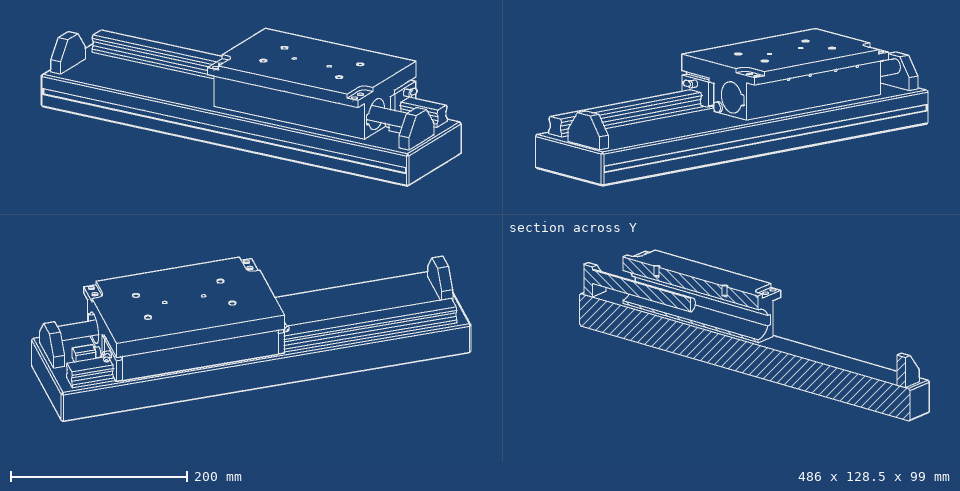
import cadquery as cq
import math


BASE_LENGTH = 486.0
BASE_WIDTH = 120.0
BASE_HEIGHT = 40.0
BASE_CHAMFER = 2.2
SLOT_END_MARGIN = 3.5
SLOT_BOTTOM_Z = 16.0
SLOT_HEIGHT = 7.5
SLOT_DEPTH = 2.5

TABLE_LENGTH = 199.5
TABLE_START_X = -20.0
TABLE_END_X = TABLE_START_X + TABLE_LENGTH
TABLE_MID_X = TABLE_START_X + TABLE_LENGTH / 2
TABLE_WIDTH = 128.5
TABLE_BACK_Y = 64.5
TABLE_FRONT_Y = TABLE_BACK_Y - TABLE_WIDTH
TABLE_TOP_Z = 99.0
FLANGE_BOTTOM_Z = 85.5
PLATE_BOTTOM_Z = 75.0
HOUSING_BOTTOM_Z = 42.5
HOUSING_BACK_Y = 8.0
HOUSING_FRONT_Y = -49.5

CARRIAGE_WIDTH = 48.0
CARRIAGE_FRONT_Y = TABLE_BACK_Y - CARRIAGE_WIDTH
CARRIAGE_BOTTOM_Z = 45.0
CARRIAGE_TOP_Z = 79.5
CARRIAGE_CHAMFER = 2.0
END_CAP_LENGTH = 7.5
END_CAP_WIDTH = 46.5

RAIL_Y = TABLE_BACK_Y - CARRIAGE_WIDTH / 2
RAIL_LENGTH = 456.0
RAIL_START_X = -RAIL_LENGTH / 2
RAIL_FOOT_WIDTH = 23.0
RAIL_NECK_WIDTH = 18.0
RAIL_TOP_WIDTH = 18.5
RAIL_TOP_Z = 60.5
RAIL_FOOT_EDGE_Z = 43.5
RAIL_NECK_BOTTOM_Z = 47.0
RAIL_NECK_TOP_Z = 52.0
RAIL_HEAD_EDGE_Z = 57.0

NIPPLE_Z = 69.0
NIPPLE_STUB_DIAMETER = 8.5
NIPPLE_STUB_LENGTH = 7.5
NIPPLE_HEAD_DIAMETER = 7.0
NIPPLE_HEAD_LENGTH = 9.5
NIPPLE_TIP_DIAMETER = 3.0
NIPPLE_TIP_LENGTH = 2.5
NIPPLE_ELBOW = 4.0
NIPPLE_ANGLE = 70.0

BORE_Y = -23.5
BORE_Z = 64.0
BORE_DIAMETER = 36.0
GROOVE_HEIGHT = 12.5
GROOVE_REACH = 22.0
GROOVE_FILLET = 2.0
ROD_DIAMETER = 17.0
ROD_DEPTH_IN_BORE = TABLE_LENGTH / 2

MOUNT_HOLE_DIAMETER = 7.0
MOUNT_MOUTH_DIAMETER = 8.5
MOUNT_SPACING_X = 100.0
MOUNT_SPACING_Y = 46.5
MOUNT_DEPTH = 12.0
COUNTERSINK_TAPER = 45.0
DOWEL_DIAMETER = 5.0
DOWEL_SPACING = 46.0
DOWEL_DEPTH = 9.5
HOLE_PATTERN_Y = 0.5
POCKET_LENGTH = 32.5
POCKET_WIDTH = 14.5
POCKET_DEPTH = 5.0
POCKET_RADIUS = 8.0
POCKET_HOLE_DIAMETER = 5.0
POCKET_MOUTH_DIAMETER = 7.0
POCKET_MOUTH_DEPTH = 2.5
POCKET_HOLE_INSET_X = 8.0
POCKET_HOLE_INSETS_Y = (5.0, 18.0)
SIDE_HOLE_DIAMETER = 3.25
SIDE_HOLE_Z = 80.5
SIDE_HOLE_DEPTH = 7.5
SIDE_HOLE_OFFSETS = (19.0, 51.0)
SIDE_HOLE_SHIFT = 14.0
SIDE_HOLE_PATTERN_X = TABLE_MID_X + SIDE_HOLE_SHIFT

BOSS_DIAMETER = 12.0
BOSS_LENGTH = 3.0
BOSS_Y = -1.0
BOSS_Z = 49.0

STOP_START_X = 186.5
STOP_LENGTH = 24.0
STOP_Y = 0.5
STOP_WIDTH = 15.5
STOP_TOP_Z = 54.5
STOP_CHAMFER = 2.0
BUMPER_DIAMETER = 12.0
BUMPER_LENGTH = 6.5
BUMPER_Z = 46.5

BRACKET_THICKNESS = 13.0
BRACKET_OFFSET = 6.5
BRACKET_Y = -20.0
BRACKET_WIDTH = 55.0
BRACKET_TOP_WIDTH = 22.5
BRACKET_TOP_Z = 76.5
BRACKET_SHOULDER_Z = 55.0


def extrude_along_x(points, start_x, length):
    """Extrude a closed YZ outline in +X from start_x."""
    return cq.Workplane("YZ", origin=(start_x, 0, 0)).polyline(points).close().extrude(length)


def cylinder_along_x(diameter, start_x, y, z, length):
    return cq.Workplane("YZ", origin=(start_x, y, z)).circle(diameter / 2).extrude(length)


def corner_box(size_x, size_y, size_z, corner):
    """Box whose lowest X, Y and Z corner is at the given point."""
    return cq.Workplane("XY", origin=corner).box(size_x, size_y, size_z, centered=False)


def stop_block():
    corner = (STOP_START_X, STOP_Y - STOP_WIDTH / 2, BASE_HEIGHT)
    block = corner_box(STOP_LENGTH, STOP_WIDTH, STOP_TOP_Z - BASE_HEIGHT, corner)
    block = block.edges("|X and >Z").chamfer(STOP_CHAMFER)
    bumper_start_x = STOP_START_X - BUMPER_LENGTH
    bumper = cylinder_along_x(BUMPER_DIAMETER, bumper_start_x, STOP_Y, BUMPER_Z, BUMPER_LENGTH)
    return block.union(bumper)


def make_base():
    block = cq.Workplane("XY").box(BASE_LENGTH, BASE_WIDTH, BASE_HEIGHT, centered=(True, True, False))
    block = block.edges().chamfer(BASE_CHAMFER)
    slot_length = BASE_LENGTH - 2 * SLOT_END_MARGIN
    slot_corner = (-slot_length / 2, -BASE_WIDTH / 2, SLOT_BOTTOM_Z)
    slot = corner_box(slot_length, SLOT_DEPTH, SLOT_HEIGHT, slot_corner)
    return block.cut(slot).union(stop_block())


def make_rail():
    right_side = [
        (RAIL_FOOT_WIDTH / 2, BASE_HEIGHT),
        (RAIL_FOOT_WIDTH / 2, RAIL_FOOT_EDGE_Z),
        (RAIL_NECK_WIDTH / 2, RAIL_NECK_BOTTOM_Z),
        (RAIL_NECK_WIDTH / 2, RAIL_NECK_TOP_Z),
        (RAIL_FOOT_WIDTH / 2, RAIL_HEAD_EDGE_Z),
        (RAIL_TOP_WIDTH / 2, RAIL_TOP_Z),
    ]
    outline = [(RAIL_Y + half, z) for half, z in right_side]
    outline += [(RAIL_Y - half, z) for half, z in reversed(right_side)]
    return extrude_along_x(outline, RAIL_START_X, RAIL_LENGTH)


def carriage_section(width, top_z, start_x, length):
    """Block centred on the rail, with its two lower long edges chamfered."""
    corner = (start_x, RAIL_Y - width / 2, CARRIAGE_BOTTOM_Z)
    block = corner_box(length, width, top_z - CARRIAGE_BOTTOM_Z, corner)
    return block.edges("|X and <Z").chamfer(CARRIAGE_CHAMFER)


def make_nipple(end_x, outward):
    """Stub along X and a head bent towards +Y; outward is -1 or +1 along X."""
    stub = (
        cq.Workplane("YZ", origin=(end_x, RAIL_Y, NIPPLE_Z))
        .circle(NIPPLE_STUB_DIAMETER / 2)
        .extrude(outward * NIPPLE_STUB_LENGTH)
    )
    angle = math.radians(NIPPLE_ANGLE)
    axis = cq.Vector(outward * math.cos(angle), math.sin(angle), 0)
    elbow = cq.Vector(end_x + outward * NIPPLE_ELBOW, RAIL_Y, NIPPLE_Z)
    head = cq.Solid.makeCylinder(NIPPLE_HEAD_DIAMETER / 2, NIPPLE_HEAD_LENGTH, elbow, axis)
    tip = cq.Solid.makeCone(
        NIPPLE_HEAD_DIAMETER / 2,
        NIPPLE_TIP_DIAMETER / 2,
        NIPPLE_TIP_LENGTH,
        elbow + axis * NIPPLE_HEAD_LENGTH,
        axis,
    )
    return stub.union(cq.Workplane(head)).union(cq.Workplane(tip))


def make_carriage(rail):
    end_caps = carriage_section(END_CAP_WIDTH, PLATE_BOTTOM_Z, TABLE_START_X, TABLE_LENGTH)
    body_length = TABLE_LENGTH - 2 * END_CAP_LENGTH
    body = carriage_section(CARRIAGE_WIDTH, CARRIAGE_TOP_Z, TABLE_START_X + END_CAP_LENGTH, body_length)
    carriage = end_caps.union(body).cut(rail)
    for end_x, outward in ((TABLE_START_X, -1), (TABLE_END_X, 1)):
        carriage = carriage.union(make_nipple(end_x, outward))
    return carriage


def table_profile():
    outline = [
        (TABLE_BACK_Y, TABLE_TOP_Z),
        (TABLE_FRONT_Y, TABLE_TOP_Z),
        (TABLE_FRONT_Y, FLANGE_BOTTOM_Z),
        (HOUSING_FRONT_Y, FLANGE_BOTTOM_Z),
        (HOUSING_FRONT_Y, HOUSING_BOTTOM_Z),
        (HOUSING_BACK_Y, HOUSING_BOTTOM_Z),
        (HOUSING_BACK_Y, PLATE_BOTTOM_Z),
        (CARRIAGE_FRONT_Y, PLATE_BOTTOM_Z),
        (CARRIAGE_FRONT_Y, CARRIAGE_TOP_Z),
        (TABLE_BACK_Y, CARRIAGE_TOP_Z),
    ]
    return extrude_along_x(outline, TABLE_START_X, TABLE_LENGTH)


def bore():
    round_bore = cylinder_along_x(BORE_DIAMETER, TABLE_START_X, BORE_Y, BORE_Z, TABLE_LENGTH)
    groove_corner = (TABLE_START_X, BORE_Y - GROOVE_REACH, BORE_Z - GROOVE_HEIGHT / 2)
    groove = corner_box(TABLE_LENGTH, GROOVE_REACH, GROOVE_HEIGHT, groove_corner)
    return round_bore.union(groove.edges("|X and <Y").fillet(GROOVE_FILLET))


def top_holes():
    top = cq.Workplane("XY", origin=(TABLE_MID_X, HOLE_PATTERN_Y, TABLE_TOP_Z))
    mounts = top.rarray(MOUNT_SPACING_X, MOUNT_SPACING_Y, 2, 2)
    mounts = mounts.circle(MOUNT_HOLE_DIAMETER / 2).extrude(-MOUNT_DEPTH)
    mouth_depth = (MOUNT_MOUTH_DIAMETER - MOUNT_HOLE_DIAMETER) / 2
    mouths = top.rarray(MOUNT_SPACING_X, MOUNT_SPACING_Y, 2, 2)
    mouths = mouths.circle(MOUNT_MOUTH_DIAMETER / 2).extrude(-mouth_depth, taper=COUNTERSINK_TAPER)
    dowels = top.rarray(DOWEL_SPACING, 5, 2, 1).circle(DOWEL_DIAMETER / 2).extrude(-DOWEL_DEPTH)
    return mounts.union(mouths).union(dowels)


def corner_pocket(end_x, inward):
    """Pocket at a front corner with two stepped through holes; inward is -1 or +1 along X."""
    floor_z = TABLE_TOP_Z - POCKET_DEPTH
    center = (end_x + inward * POCKET_WIDTH / 2, TABLE_FRONT_Y + POCKET_LENGTH / 2, floor_z)
    pocket = cq.Workplane("XY", origin=center).box(
        POCKET_WIDTH, POCKET_LENGTH, POCKET_DEPTH, centered=(True, True, False)
    )
    inner_corner = "|Z and >Y and >X" if inward > 0 else "|Z and >Y and <X"
    pocket = pocket.edges(inner_corner).fillet(POCKET_RADIUS)
    hole_points = [
        (end_x + inward * POCKET_HOLE_INSET_X, TABLE_FRONT_Y + inset) for inset in POCKET_HOLE_INSETS_Y
    ]
    floor = cq.Workplane("XY", origin=(0, 0, floor_z)).pushPoints(hole_points)
    holes = floor.circle(POCKET_HOLE_DIAMETER / 2).extrude(FLANGE_BOTTOM_Z - floor_z)
    mouths = floor.circle(POCKET_MOUTH_DIAMETER / 2).extrude(-POCKET_MOUTH_DEPTH)
    return pocket.union(holes).union(mouths)


def side_holes():
    points = [(sign * offset, 0) for offset in SIDE_HOLE_OFFSETS for sign in (-1, 1)]
    return (
        cq.Workplane("XZ", origin=(SIDE_HOLE_PATTERN_X, HOUSING_FRONT_Y, SIDE_HOLE_Z))
        .pushPoints(points)
        .circle(SIDE_HOLE_DIAMETER / 2)
        .extrude(-SIDE_HOLE_DEPTH)
    )


def make_table():
    table = table_profile().cut(bore()).cut(top_holes()).cut(side_holes())
    for end_x, inward in ((TABLE_START_X, 1), (TABLE_END_X, -1)):
        table = table.cut(corner_pocket(end_x, inward))
    boss = cylinder_along_x(BOSS_DIAMETER, TABLE_START_X - BOSS_LENGTH, BOSS_Y, BOSS_Z, BOSS_LENGTH)
    return table.union(boss)


def make_bracket(start_x):
    half_width = BRACKET_WIDTH / 2
    half_top = BRACKET_TOP_WIDTH / 2
    outline = [
        (BRACKET_Y - half_width, BASE_HEIGHT),
        (BRACKET_Y + half_width, BASE_HEIGHT),
        (BRACKET_Y + half_width, BRACKET_SHOULDER_Z),
        (BRACKET_Y + half_top, BRACKET_TOP_Z),
        (BRACKET_Y - half_top, BRACKET_TOP_Z),
        (BRACKET_Y - half_width, BRACKET_SHOULDER_Z),
    ]
    return extrude_along_x(outline, start_x, BRACKET_THICKNESS)


def make_rod_bracket(start_x):
    """End bracket carrying the rod that reaches into the table's bore."""
    rod_start_x = TABLE_END_X - ROD_DEPTH_IN_BORE
    rod = cylinder_along_x(ROD_DIAMETER, rod_start_x, BORE_Y, BORE_Z, start_x - rod_start_x)
    return make_bracket(start_x).union(rod)


base = make_base()
rail = make_rail()
carriage = make_carriage(rail)
table = make_table()
plain_bracket = make_bracket(-BASE_LENGTH / 2 + BRACKET_OFFSET)
rod_bracket = make_rod_bracket(BASE_LENGTH / 2 - BRACKET_OFFSET - BRACKET_THICKNESS)

result = cq.Compound.makeCompound(
    [
        base.val(),
        rail.val(),
        carriage.val(),
        table.val(),
        plain_bracket.val(),
        rod_bracket.val(),
    ]
)